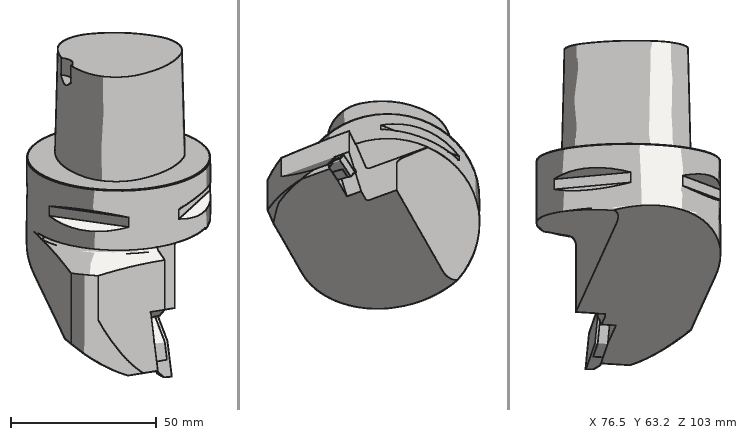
import cadquery as cq
import math


SHANK_HEIGHT = 38.0
SHANK_TAPER = 1 / 40
LOBE_REACH = 23.4
SIDE_REACH = 20.8
SIDE_RADIUS = 33.5
NOTCH_RADIUS = 5.2
NOTCH_AXIS_Y = -22.8
NOTCH_DEPTH = 6.3
NOTCH_POINT_ANGLE = 100

FLANGE_RADIUS = 31.5
FLANGE_BOTTOM = -22.0
FLANGE_CHAMFER = 0.3
SLOT_DISTANCE = 27.9
SLOT_TOP = -10.1
SLOT_BOTTOM = -13.6
SLOT_WALL_ANGLE = 30

SWING_RADIUS = 44.9
SWING_CENTER_Z = -20.7
NECK_RADIUS = 31.6
FRONT_BEND_X = 19.8
FRONT_Y = -31.7
HEAD_SIDE_X = 37.8
SHOULDER_ANGLE = 15
SHOULDER_EDGE_Z = -26.5
SHOULDER_FILLET = 1.0
HEEL = (-FLANGE_RADIUS, -21.3)
UNDERSIDE_BEND = (34.7, -57.1)
NOSE_LOW = (42.3, -63.0)
NOSE_SIDE = (43.8, -62.3)
SIDE_BEND = (HEAD_SIDE_X, -42.7)
BACK_Y = 11.7
BACK_FILLET = 3.3
BACK_ROOF_Z = -23.3
BACK_ROOF_EDGE_Z = -21.7
RAKE_WALL_X = 21.3
RAKE_Y = 0.7
RAKE_FILLET = 1.0

INSERT_TOP_Y = 0.2
INSERT_BOTTOM_Y = -4.5
INSERT_SIDE = 13.3
INSERT_ANGLE = 35
INSERT_LEAD = 17.5
INSERT_CLEARANCE = 4
NOSE_RADIUS = 0.4
NOSE_CENTER = (44.6, -64.6)
BLUNT_RADIUS = 1.2
LAND_DEPTH = 1.0
RELIEF = 0.1
RELIEF_START = 6.7
TIP_BEVEL_START = 3.1
POCKET_LEFT = (26.5, -52.5)
POCKET_RIGHT = (37.9, -42.7)

FAR = 103.0


def polar(radius, degrees):
    angle = math.radians(degrees)
    return (radius * math.cos(angle), radius * math.sin(angle))


MIDDLE_ANGLE = 90 + INSERT_LEAD + INSERT_ANGLE / 2
TIP_SETBACK = NOSE_RADIUS / math.sin(math.radians(INSERT_ANGLE / 2))
TIP = tuple(c - d for c, d in zip(NOSE_CENTER, polar(TIP_SETBACK, MIDDLE_ANGLE)))
OUTER_EDGE = polar(INSERT_SIDE, MIDDLE_ANGLE - INSERT_ANGLE / 2)
LOWER_EDGE = polar(INSERT_SIDE, MIDDLE_ANGLE + INSERT_ANGLE / 2)


def shank_outline(plane, inset):
    """Three broad arcs joined by three tangent lobe arcs, moved inward by inset."""
    side_offset = SIDE_RADIUS - SIDE_REACH
    rise = LOBE_REACH - SIDE_REACH
    lobe_offset = (2 * rise * side_offset - rise**2) / (side_offset - 2 * rise)
    side_x, side_y = polar(side_offset, 90)
    lobe_x, lobe_y = polar(lobe_offset, -30)
    joint_direction = math.atan2(lobe_y - side_y, lobe_x - side_x)
    joint_x = side_x + (SIDE_RADIUS - inset) * math.cos(joint_direction)
    joint_y = side_y + (SIDE_RADIUS - inset) * math.sin(joint_direction)
    joint_reach = math.hypot(joint_x, joint_y)
    half_side = 90 + math.degrees(math.atan2(joint_y, joint_x))

    outline = plane.moveTo(*polar(joint_reach, -90 - half_side))
    for side_angle in (-90, 30, 150):
        outline = outline.threePointArc(
            polar(SIDE_REACH - inset, side_angle),
            polar(joint_reach, side_angle + half_side),
        ).threePointArc(
            polar(LOBE_REACH - inset, side_angle + 60),
            polar(joint_reach, side_angle + 120 - half_side),
        )
    return outline.close()


def make_shank():
    base = shank_outline(cq.Workplane("XY"), 0)
    end_plane = base.workplane(offset=SHANK_HEIGHT)
    shank = shank_outline(end_plane, SHANK_HEIGHT * SHANK_TAPER).loft(ruled=True)
    shoulder_z = SHANK_HEIGHT - NOTCH_DEPTH
    point_z = shoulder_z - NOTCH_RADIUS / math.tan(math.radians(NOTCH_POINT_ANGLE / 2))
    notch = (
        cq.Workplane("XZ")
        .polyline([(0, point_z), (NOTCH_RADIUS, shoulder_z), (NOTCH_RADIUS, FAR), (0, FAR)])
        .close()
        .revolve(360, (0, 0), (0, 1))
        .translate((0, NOTCH_AXIS_Y, 0))
    )
    return shank.cut(notch)


def make_flange():
    flange = (
        cq.Workplane("XY")
        .circle(FLANGE_RADIUS)
        .extrude(FLANGE_BOTTOM)
        .faces(">Z")
        .chamfer(FLANGE_CHAMFER)
    )
    flare = (FAR - SLOT_DISTANCE) * math.tan(math.radians(SLOT_WALL_ANGLE))
    slot = (
        cq.Workplane("XZ")
        .polyline(
            [
                (SLOT_DISTANCE, SLOT_TOP),
                (SLOT_DISTANCE, SLOT_BOTTOM),
                (FAR, SLOT_BOTTOM - flare),
                (FAR, SLOT_TOP + flare),
            ]
        )
        .close()
        .extrude(FLANGE_RADIUS, both=True)
    )
    for angle in (45, 135, 225, 315):
        flange = flange.cut(slot.rotate((0, 0, 0), (0, 0, 1), angle))
    return flange


def head_plan():
    """Plan of the head: half round at the left, flat front, swing rounding at the right."""
    corner_x = math.sqrt(SWING_RADIUS**2 - FRONT_Y**2)
    corner_angle = math.degrees(math.atan2(FRONT_Y, corner_x))
    return (
        cq.Workplane("XY")
        .moveTo(0, -NECK_RADIUS)
        .lineTo(FRONT_BEND_X, -NECK_RADIUS)
        .lineTo(corner_x, FRONT_Y)
        .threePointArc(polar(SWING_RADIUS, corner_angle / 2), (SWING_RADIUS, 0))
        .lineTo(SWING_RADIUS, NECK_RADIUS)
        .lineTo(0, NECK_RADIUS)
        .threePointArc((-NECK_RADIUS, 0), (0, -NECK_RADIUS))
        .close()
        .extrude(-FAR)
    )


def shoulder_cone():
    """Everything below the conical shoulder, which meets the flange in a small fillet."""
    slope = math.tan(math.radians(SHOULDER_ANGLE))
    center_r = FLANGE_RADIUS + SHOULDER_FILLET
    end_r, end_drop = polar(SHOULDER_FILLET, 270 - SHOULDER_ANGLE)
    end_r += center_r
    end_z = SHOULDER_EDGE_Z + slope * (SWING_RADIUS - end_r)
    center_z = end_z - end_drop
    middle_r, middle_z = polar(SHOULDER_FILLET, (180 + 270 - SHOULDER_ANGLE) / 2)
    return (
        cq.Workplane("XZ")
        .moveTo(0, -FAR)
        .lineTo(0, FLANGE_BOTTOM)
        .lineTo(FLANGE_RADIUS, FLANGE_BOTTOM)
        .lineTo(FLANGE_RADIUS, center_z)
        .threePointArc((center_r + middle_r, center_z + middle_z), (end_r, end_z))
        .lineTo(FAR, SHOULDER_EDGE_Z - slope * (FAR - SWING_RADIUS))
        .lineTo(FAR, -FAR)
        .close()
        .revolve(360, (0, 0), (0, 1))
    )


def side_profile():
    """Sloping underside, nose and slanted right side."""
    upper_corners = [(HEAD_SIDE_X, 0), (-FLANGE_RADIUS, 0)]
    return (
        cq.Workplane("XZ")
        .polyline([HEEL, UNDERSIDE_BEND, NOSE_LOW, NOSE_SIDE, SIDE_BEND] + upper_corners)
        .close()
        .extrude(FAR, both=True)
    )


def front_rounding():
    """Arc along X that rounds the lower front edge."""
    return (
        cq.Workplane("YZ")
        .center(0, SWING_CENTER_Z)
        .circle(SWING_RADIUS)
        .extrude(FAR, both=True)
    )


def back_cut():
    """Clears the back of the head, up to the slightly sloping underside of the flange."""
    roof_y = BACK_Y + BACK_FILLET
    diagonal = BACK_FILLET * (1 - math.sqrt(0.5))
    return (
        cq.Workplane("YZ")
        .moveTo(BACK_Y, -FAR)
        .lineTo(BACK_Y, BACK_ROOF_Z - BACK_FILLET)
        .threePointArc((BACK_Y + diagonal, BACK_ROOF_Z - diagonal), (roof_y, BACK_ROOF_Z))
        .lineTo(FLANGE_RADIUS, BACK_ROOF_EDGE_Z)
        .lineTo(FAR, BACK_ROOF_EDGE_Z)
        .lineTo(FAR, -FAR)
        .close()
        .extrude(FAR, both=True)
    )


def rake_cut():
    """Clears the rake side of the head in front of an upright wall with a filleted foot."""
    return (
        cq.Workplane("XY", origin=(RAKE_WALL_X, RAKE_Y, FLANGE_BOTTOM))
        .rect(FAR, FAR, centered=False)
        .extrude(-FAR)
        .edges("<X and <Y")
        .fillet(RAKE_FILLET)
    )


def insert_blank(inset=0.0):
    """Rhombic plate with clearance on all sides and rounded corners, its sides moved in by inset."""
    tip = cq.Vector(*TIP)
    outer = cq.Vector(*OUTER_EDGE)
    lower = cq.Vector(*LOWER_EDGE)
    corners = [tip, tip + outer, tip + outer + lower, tip + lower]
    prism = (
        cq.Workplane("XZ", origin=(0, INSERT_TOP_Y, 0))
        .polyline([(corner.x, corner.y) for corner in corners])
        .close()
        .offset2D(-inset, "intersection")
        .extrude(INSERT_TOP_Y - INSERT_BOTTOM_Y)
    )
    prism = prism.edges("|Y").edges("not (<Z or >Z)").fillet(BLUNT_RADIUS)
    prism = prism.edges("|Y").edges("<Z or >Z").fillet(NOSE_RADIUS)
    top = prism.faces(">Y").wires().toPending()
    return top.extrude(INSERT_TOP_Y - INSERT_BOTTOM_Y, combine=False, taper=INSERT_CLEARANCE)


def tip_bevel():
    """Wedge that takes off the lower end of the insert's tip at 45 degrees."""
    inner_x, inner_z = (t + d for t, d in zip(TIP, polar(TIP_BEVEL_START, MIDDLE_ANGLE)))
    return (
        cq.Workplane("XY")
        .polyline([(0, 0), (-2 * TIP_BEVEL_START, 0), (-2 * TIP_BEVEL_START, 2 * TIP_BEVEL_START)])
        .close()
        .extrude(TIP_BEVEL_START, both=True)
        .rotate((0, 0, 0), (0, 1, 0), -MIDDLE_ANGLE)
        .translate((inner_x, INSERT_BOTTOM_Y, inner_z))
    )


def relief_zone():
    """Block below the land and behind the tip, where the insert's sides are relieved."""
    start_x, start_z = (t + d for t, d in zip(TIP, polar(RELIEF_START, MIDDLE_ANGLE)))
    return (
        cq.Workplane("XZ", origin=(0, INSERT_TOP_Y - LAND_DEPTH, 0))
        .rect(FAR, FAR)
        .extrude(FAR)
        .translate((FAR / 2, 0, 0))
        .rotate((0, 0, 0), (0, 1, 0), -MIDDLE_ANGLE)
        .translate((start_x, 0, start_z))
    )


def make_insert():
    relief = insert_blank().cut(insert_blank(RELIEF)).intersect(relief_zone())
    return insert_blank().cut(relief).cut(tip_bevel())


def insert_pocket():
    """Opening around the insert's tip, plus a fitted seat that is open toward the rake side."""
    opening = (
        cq.Workplane("XZ", origin=(0, INSERT_BOTTOM_Y, 0))
        .polyline(
            [POCKET_LEFT, POCKET_RIGHT, (FAR, POCKET_RIGHT[1]), (FAR, -FAR), (POCKET_LEFT[0], -FAR)]
        )
        .close()
        .extrude(-FAR)
    )
    seat = insert_blank()
    entry = seat.faces(">Y").wires().toPending().extrude(INSERT_TOP_Y - RAKE_Y, combine=False)
    return opening.union(seat).union(entry)


def underside_cut():
    """Continues the sloping underside across the flange rim."""
    return (
        cq.Workplane("XZ")
        .polyline([HEEL, UNDERSIDE_BEND, (-FAR, -FAR), (-FAR, HEEL[1])])
        .close()
        .extrude(FAR, both=True)
    )


def make_head():
    head = head_plan().intersect(shoulder_cone()).intersect(side_profile())
    return head.intersect(front_rounding()).cut(rake_cut())


def make_holder():
    holder = make_flange().union(make_shank()).union(make_head())
    return holder.cut(underside_cut()).cut(back_cut()).cut(insert_pocket())


holder = make_holder()
insert = make_insert()
result = cq.Compound.makeCompound([holder.solids().val(), insert.solids().val()])